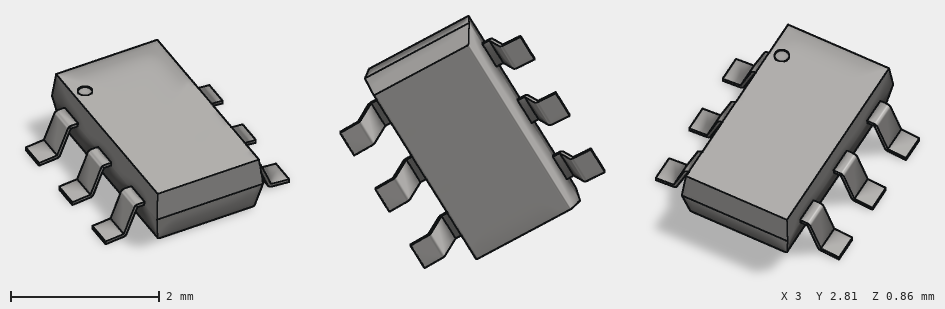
import cadquery as cq
import math


body_length = 3.0
body_width = 1.625
top_length = 2.9
top_width = 1.55
base_length = 2.77
base_width = 1.48
base_height = 0.014
parting_height = 0.46
top_height = 0.86
base_edge_radius = 0.04

mark_radius = 0.1
mark_depth = 0.02
mark_x = -0.95
mark_y = -0.6

lead_span = 2.81
lead_thickness = 0.05
lead_width = 0.38
lead_pitch = 0.95
leads_per_side = 3
lead_embed = 0.1
shoulder_reach = 0.953
leg_angle = 22.0
foot_angle = 5.0
bend_radius = 0.067


def taper(length, width, height, end_length, end_width, end_height):
    """Frustum between two centred rectangles at the given heights."""
    return (
        cq.Workplane("XY", origin=(0, 0, height))
        .rect(length, width)
        .workplane(offset=end_height - height)
        .rect(end_length, end_width)
        .loft(ruled=True)
    )


def make_body():
    upper = taper(body_length, body_width, parting_height, top_length, top_width, top_height)
    lower = taper(body_length, body_width, parting_height, base_length, base_width, base_height)
    lower = lower.faces("<Z").edges("|X").fillet(base_edge_radius)
    return upper.union(lower)


def cut_mark(body):
    mark = (
        cq.Workplane("XY", origin=(mark_x, mark_y, top_height - mark_depth))
        .circle(mark_radius)
        .extrude(mark_depth)
    )
    return body.cut(mark)


def make_lead():
    """Lead on the +Y side, centred on X = 0."""
    leg_slope = math.tan(math.radians(leg_angle))
    foot_slope = math.tan(math.radians(foot_angle))
    foot_thickness = lead_thickness / math.cos(math.radians(foot_angle))
    leg_thickness = lead_thickness / math.cos(math.radians(leg_angle))

    inner_y = body_width / 2 - lead_embed
    tip_y = lead_span / 2
    shoulder_bottom = parting_height
    shoulder_top = shoulder_bottom + lead_thickness

    def leg_foot_corner(leg_top_y, tip_z):
        """Crossing of a leg line, given its Y at the shoulder top, with a foot line."""
        z = (tip_z + foot_slope * (tip_y - leg_top_y - leg_slope * shoulder_top)) / (
            1 - foot_slope * leg_slope
        )
        return leg_top_y + leg_slope * (shoulder_top - z), z

    inner_leg_y = shoulder_reach - leg_thickness
    ankle_top = leg_foot_corner(shoulder_reach, foot_thickness)
    heel = leg_foot_corner(inner_leg_y, 0)
    shoulder = (shoulder_reach, shoulder_top)
    underside = (inner_leg_y + leg_slope * lead_thickness, shoulder_bottom)

    profile = [
        (inner_y, shoulder_top),
        shoulder,
        ankle_top,
        (tip_y, foot_thickness),
        (tip_y, 0),
        heel,
        underside,
        (inner_y, shoulder_bottom),
    ]
    lead = (
        cq.Workplane("YZ", origin=(-lead_width / 2, 0, 0))
        .polyline(profile)
        .close()
        .extrude(lead_width)
    )
    for y, z in (shoulder, heel):
        corner_edge = cq.selectors.NearestToPointSelector((0, y, z))
        lead = lead.edges(corner_edge).fillet(bend_radius)
    return lead


def add_leads(body):
    lead = make_lead()
    opposite_lead = lead.mirror("XZ")
    for index in range(leads_per_side):
        x = (index - (leads_per_side - 1) / 2) * lead_pitch
        body = body.union(lead.translate((x, 0, 0)))
        body = body.union(opposite_lead.translate((x, 0, 0)))
    return body


result = add_leads(cut_mark(make_body()))